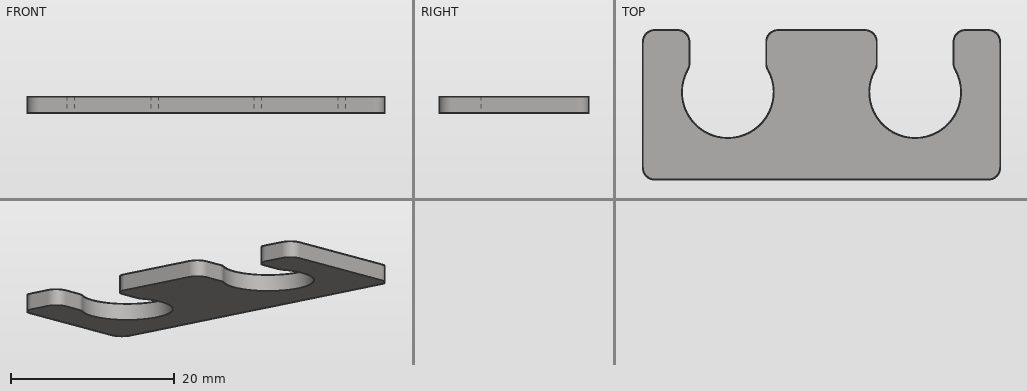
import cadquery as cq

length = 43.7
width = 18.3
thickness = 2.0
corner_radius = 1.5

seat_spacing = 22.9
seat_radius = 5.6
seat_setback = 7.6
mouth_width = 9.35
neck_radius = 1.5

back_y = width / 2
seat_y = back_y - seat_setback
seat_places = [(side * seat_spacing / 2, seat_y) for side in (-1, 1)]


def make_plate():
    return cq.Workplane("XY").rect(length, width).extrude(thickness)


def cut_seats(plate):
    seats = cq.Workplane("XY").pushPoints(seat_places).circle(seat_radius).extrude(thickness)
    mouth_places = [(x, seat_y + seat_setback / 2) for x, _ in seat_places]
    mouths = cq.Workplane("XY").pushPoints(mouth_places).rect(mouth_width, seat_setback).extrude(thickness)
    return plate.cut(seats.union(mouths))


def round_edges(plate):
    neck_edges = cq.selectors.BoxSelector(
        (-length / 2 + corner_radius, seat_y + corner_radius, -thickness),
        (length / 2 - corner_radius, back_y - corner_radius, 2 * thickness),
    )
    plate = plate.edges("|Z").edges(neck_edges).fillet(neck_radius)
    outer_corners = plate.edges("|Z").edges("<Y or >Y")
    return outer_corners.fillet(corner_radius)


result = round_edges(cut_seats(make_plate()))